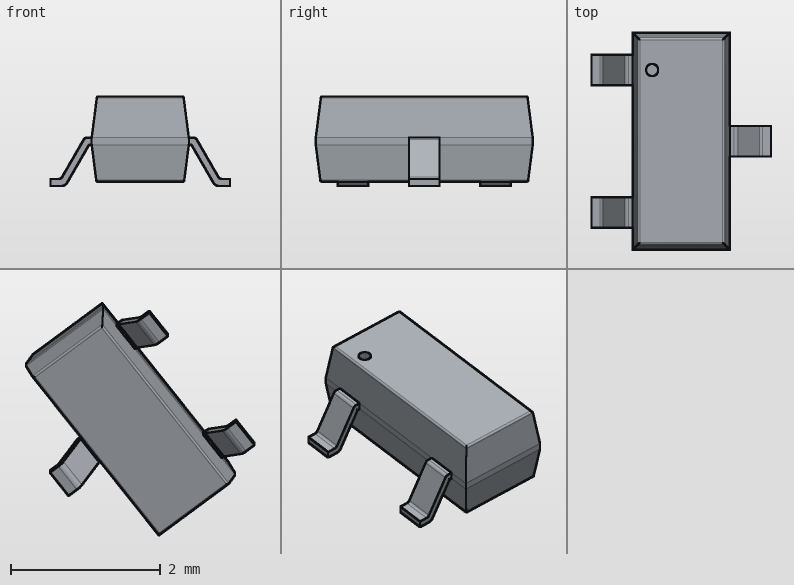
import cadquery as cq
import math

total_width = 2.4
total_height = 1.2
body_width = 1.3
body_length = 2.9

body_bottom = 0.058
belt_bottom = 0.55
lead_thickness = 0.1
belt_top = belt_bottom + lead_thickness
draft_angle = 7.3
body_edge_radius = 0.03

mark_diameter = 0.162
mark_depth = 0.162
mark_x = -0.39

lead_width = 0.41
lead_row_offset = 0.95
foot_length = 0.142
lead_slope = 60.0
foot_inner_radius = 0.05
foot_outer_radius = 0.1
shoulder_radius = 0.058


def make_body():
    belt = (
        cq.Workplane("XY")
        .workplane(offset=belt_bottom)
        .rect(body_width, body_length)
        .extrude(lead_thickness)
    )
    upper = (
        belt.faces(">Z")
        .workplane()
        .rect(body_width, body_length)
        .extrude(total_height - belt_top, taper=draft_angle, combine=False)
        .faces(">Z")
        .edges()
        .fillet(body_edge_radius)
    )
    lower = (
        belt.faces("<Z")
        .workplane()
        .rect(body_width, body_length)
        .extrude(belt_bottom - body_bottom, taper=draft_angle, combine=False)
        .faces("<Z")
        .edges()
        .fillet(body_edge_radius)
    )
    mark = (
        cq.Workplane("XY")
        .workplane(offset=total_height - mark_depth)
        .center(mark_x, lead_row_offset)
        .circle(mark_diameter / 2)
        .extrude(mark_depth)
    )
    return belt.union(upper).union(lower).cut(mark)


def make_lead(side, y_center):
    """Lead on the -X (side = -1) or +X (side = 1) wall, centered on y_center."""
    slope = math.radians(lead_slope)
    tip = total_width / 2
    wall = body_width / 2
    foot_bend = tip - foot_length
    shoulder_bend = foot_bend - (belt_top - lead_thickness) / math.tan(slope)
    bend_shift = lead_thickness * math.tan(slope / 2)

    outline = [
        (tip, 0),
        (tip, lead_thickness),
        (foot_bend, lead_thickness),
        (shoulder_bend, belt_top),
        (wall, belt_top),
        (wall, belt_bottom),
        (shoulder_bend - bend_shift, belt_bottom),
        (foot_bend - bend_shift, 0),
    ]
    strip = (
        cq.Workplane("XZ", origin=(0, y_center, 0))
        .polyline([(side * x, z) for x, z in outline])
        .close()
        .extrude(lead_width / 2, both=True)
    )
    bends = [
        (foot_bend, lead_thickness, foot_inner_radius),
        (foot_bend - bend_shift, 0, foot_outer_radius),
        (shoulder_bend, belt_top, shoulder_radius),
    ]
    for x, z, radius in bends:
        bend_edge = cq.selectors.NearestToPointSelector((side * x, y_center, z))
        strip = strip.edges("|Y").edges(bend_edge).fillet(radius)
    return strip


body = make_body()
lead_places = [(-1, lead_row_offset), (-1, -lead_row_offset), (1, 0)]
leads = [make_lead(side, y_center) for side, y_center in lead_places]

result = cq.Compound.makeCompound([body.val(), *[lead.val() for lead in leads]])